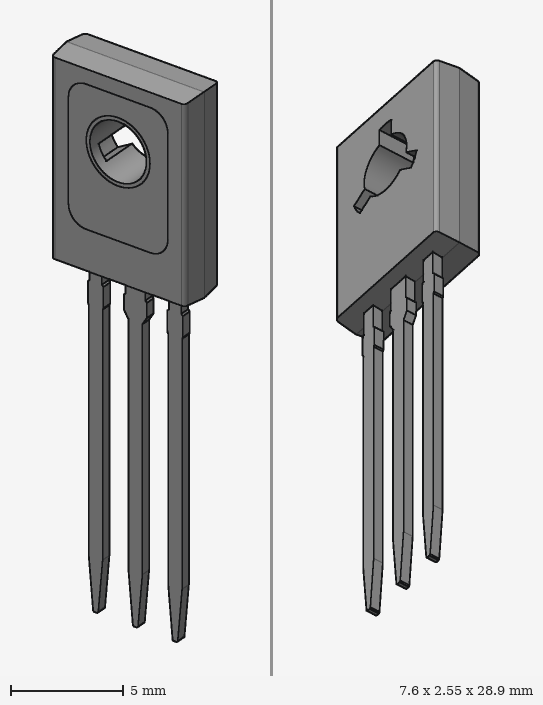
import cadquery as cq

total_height = 28.9
housing_width = 7.6
housing_height = 10.63
front_depth = 1.3
back_depth = 1.25
draft_angle = 5.0
corner_radius = 0.2

housing_bottom = total_height - housing_height
housing_centre_z = housing_bottom + housing_height / 2

hole_z = 25.1
hole_radius = 1.55
slot_width = 0.87
slot_reach = 2.45
slot_angles = (-30.0, 90.0, 210.0)

plate_width = 5.5
plate_bottom = 20.5
plate_top = 28.0
plate_thickness = 0.6
plate_corner_radius = 0.98
plate_hole_radius = 1.75

lead_pitch = 2.2
lead_thickness = 0.52
lead_embed = 0.3
shaft_width = 0.78
shaft_half = shaft_width / 2
tip_half = 0.15
taper_length = 2.85
tip_chamfer = 0.05
shoulder_top = 17.02
shoulder_bottom = 15.83
step_height = 0.1
side_neck_half = 0.35
side_shoulder_half = 0.43
middle_neck_half = 0.55
middle_shoulder_half = 0.65
middle_step_height = 0.4


def cylinder_along_y(radius, y_start, y_end):
    """Cylinder on the mounting-hole axis between two Y positions."""
    return (
        cq.Workplane("XZ", origin=(0, y_start, hole_z))
        .circle(radius)
        .extrude(y_start - y_end)
    )


def make_housing_half(depth):
    """Half of the housing, narrowing away from the parting plane (negative depth goes to +Y)."""
    half = (
        cq.Workplane("XZ", origin=(0, 0, housing_centre_z))
        .rect(housing_width, housing_height)
        .extrude(depth, taper=draft_angle)
    )
    outer_face = "<Y" if depth > 0 else ">Y"
    return half.faces(outer_face).edges("|Z").fillet(corner_radius)


def make_support_slots():
    """Radial slots with rounded ends, running from the back of the heat plate to the back face."""
    slot_front = plate_thickness - front_depth
    slot_depth = back_depth - slot_front
    bars = cq.Workplane("XY")
    for angle in slot_angles:
        bar = (
            cq.Workplane("XY")
            .box(slot_reach, slot_depth, slot_width, centered=(False, False, True))
            .rotate((0, 0, 0), (0, 1, 0), -angle)
            .translate((0, slot_front, hole_z))
        )
        bars = bars.add(bar)
    return bars.combine().intersect(cylinder_along_y(slot_reach, slot_front, back_depth))


def make_plate():
    """Heat plate with rounded corners and a clearance hole round the mounting hole."""
    plate_height = plate_top - plate_bottom
    plate = (
        cq.Workplane("XZ", origin=(0, plate_thickness - front_depth, (plate_top + plate_bottom) / 2))
        .rect(plate_width, plate_height)
        .extrude(plate_thickness)
        .edges("|Y")
        .fillet(plate_corner_radius)
    )
    return plate.cut(cylinder_along_y(plate_hole_radius, -front_depth, back_depth))


def make_lead(centre_x, neck_half, shoulder_half, lower_step):
    """Flat lead behind the parting plane: neck in the housing, shoulder, shaft and tapered tip."""
    right_side = [
        (tip_half - tip_chamfer, 0),
        (tip_half, tip_chamfer),
        (shaft_half, taper_length),
        (shaft_half, shoulder_bottom - step_height),
        (shoulder_half, shoulder_bottom - step_height + lower_step),
        (shoulder_half, shoulder_top - step_height),
        (neck_half, shoulder_top),
        (neck_half, housing_bottom + lead_embed),
    ]
    left_side = [(-x, z) for x, z in reversed(right_side)]
    return (
        cq.Workplane("XZ", origin=(centre_x, 0, 0))
        .polyline(right_side + left_side)
        .close()
        .extrude(-lead_thickness)
    )


def make_housing(inserts):
    """Moulded housing with its hole and slots, and a matching recess for each inserted body."""
    housing = make_housing_half(front_depth).union(make_housing_half(-back_depth))
    housing = housing.cut(cylinder_along_y(hole_radius, -front_depth, back_depth))
    housing = housing.cut(make_support_slots())
    for insert in inserts:
        housing = housing.cut(insert)
    return housing


plate = make_plate()
middle_lead = make_lead(0, middle_neck_half, middle_shoulder_half, middle_step_height)
side_leads = [
    make_lead(side * lead_pitch, side_neck_half, side_shoulder_half, step_height) for side in (-1, 1)
]
housing = make_housing([plate, middle_lead, *side_leads])

result = cq.Compound.makeCompound(
    [housing.val(), plate.val(), middle_lead.val(), *[lead.val() for lead in side_leads]]
)